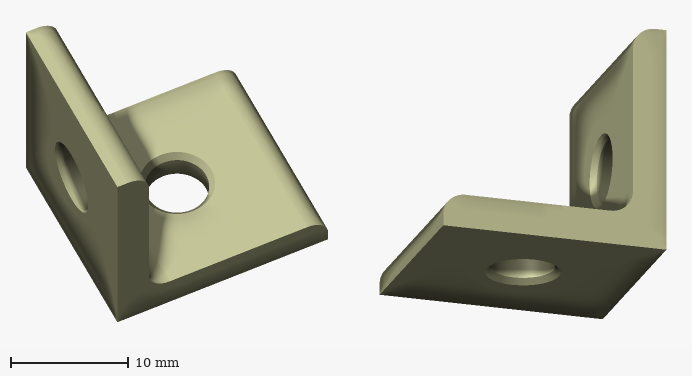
import cadquery as cq

width = 18.0
leg_length = 20.0
thickness = 3.0
corner_radius = 2.0
hole_diameter = 5.5
hole_chamfer = 0.5

hole_position = leg_length / 2
mouth_diameter = hole_diameter + 2 * hole_chamfer


def angle_body():
    """L profile in the YZ plane, centred on X, with its outer corner on the X axis."""
    inner_bend = thickness + corner_radius
    tip_start = leg_length - corner_radius
    side_start = thickness - corner_radius
    profile = (
        cq.Workplane("YZ")
        .lineTo(leg_length, 0)
        .lineTo(leg_length, side_start)
        .radiusArc((tip_start, thickness), -corner_radius)
        .lineTo(inner_bend, thickness)
        .radiusArc((thickness, inner_bend), corner_radius)
        .lineTo(thickness, tip_start)
        .radiusArc((side_start, leg_length), -corner_radius)
        .lineTo(0, leg_length)
        .close()
    )
    return profile.extrude(width / 2, both=True)


def hole_cutter():
    """Hole through a leg along +Z from Z = 0, chamfered at both faces."""
    mouth_radius = mouth_diameter / 2
    hole_radius = hole_diameter / 2
    return (
        cq.Workplane("XZ")
        .lineTo(mouth_radius, 0)
        .lineTo(hole_radius, hole_chamfer)
        .lineTo(hole_radius, thickness - hole_chamfer)
        .lineTo(mouth_radius, thickness)
        .lineTo(0, thickness)
        .close()
        .revolve(360, (0, 0), (0, 1))
    )


horizontal_hole = hole_cutter().translate((0, hole_position, 0))
vertical_hole = (
    hole_cutter()
    .rotate((0, 0, 0), (1, 0, 0), -90)
    .translate((0, 0, hole_position))
)

result = angle_body().cut(horizontal_hole).cut(vertical_hole)